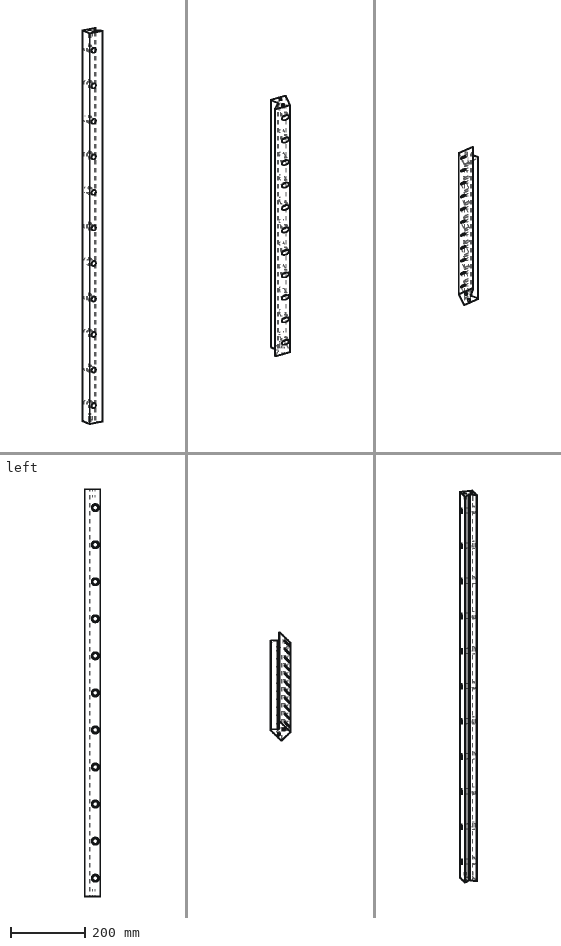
import cadquery as cq

width = 35.0
height = 42.5
length = 1100.0

edge_chamfer = 0.5

groove_opening = 29.5
relief_width = 5.0
relief_floor_y = 28.0

mount_pitch = 100.0
mount_count = 11
mount_first_z = (length - (mount_count - 1) * mount_pitch) / 2
mount_y = 13.75
mount_diameter = 14.0
counterbore_diameter = 20.0
counterbore_depth = 12.5

end_hole_spacing = 19.0
end_hole_y = 18.0
end_hole_diameter = 6.8
end_hole_depth = 20.0


def make_bar():
    """Bar with every outer edge chamfered, standing on Z = 0 with its back at Y = 0."""
    bar = cq.Workplane("XY").box(width, height, length, centered=(True, False, False))
    return bar.edges().chamfer(edge_chamfer)


def cut_raceway(body):
    half_opening = groove_opening / 2
    half_relief = relief_width / 2
    flank_root_y = height - (half_opening - half_relief)
    outline = [
        (-half_opening, height),
        (-half_relief, flank_root_y),
        (-half_relief, relief_floor_y),
        (half_relief, relief_floor_y),
        (half_relief, flank_root_y),
        (half_opening, height),
    ]
    return body.cut(cq.Workplane("XY").polyline(outline).close().extrude(length))


def cylinder_along_x(diameter, depth, z):
    """Cylinder on a mounting-hole axis that starts on the -X face and runs toward +X."""
    face = cq.Workplane("YZ", origin=(-width / 2, mount_y, z))
    return face.circle(diameter / 2).extrude(depth)


def cut_mounting_holes(body):
    for index in range(mount_count):
        z = mount_first_z + index * mount_pitch
        body = body.cut(cylinder_along_x(mount_diameter, width, z))
        body = body.cut(cylinder_along_x(counterbore_diameter, counterbore_depth, z))
    return body


def cut_end_holes(body):
    for bottom_z in (0, length - end_hole_depth):
        for x in (-end_hole_spacing / 2, end_hole_spacing / 2):
            start = cq.Workplane("XY", origin=(x, end_hole_y, bottom_z))
            body = body.cut(start.circle(end_hole_diameter / 2).extrude(end_hole_depth))
    return body


result = make_bar()
result = cut_raceway(result)
result = cut_mounting_holes(result)
result = cut_end_holes(result)